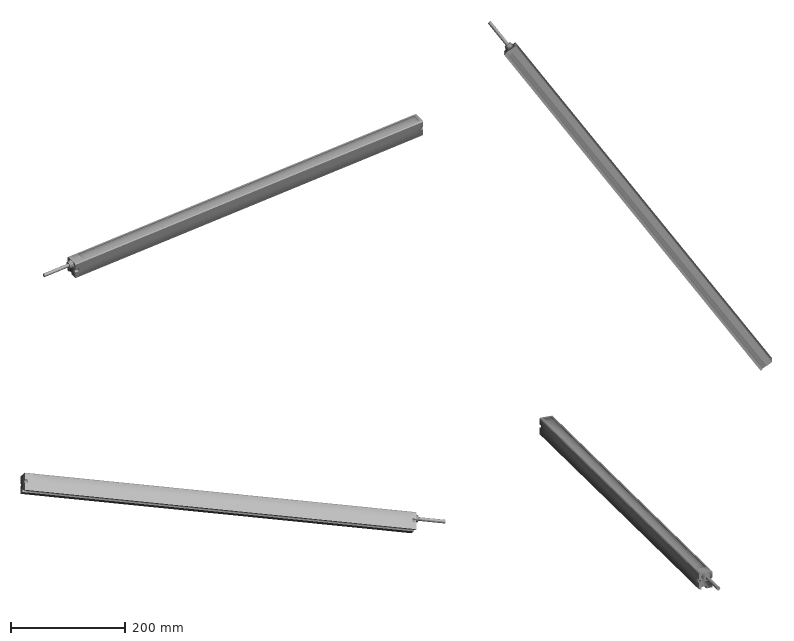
import cadquery as cq

width = 25.4
height = 31.75
total_length = 782.3
cable_reach = 57.6
body_length = total_length - cable_reach

near_cap_length = 19.05
far_cap_length = 5.0

top_chamfer = 1.6
slot_left = -8.0
slot_right = 1.0
slot_depth = 4.2

window_width = 16.0
window_recess = 1.5
core_width = 20.0
core_bottom = 7.0
lip_thickness = 3.0

groove_radius = 3.0
near_groove_length = 7.5
groove_height = height / 2

cable_height = height - 8.4
cable_diameter = 6.5
gland_diameter = 16.0
gland_ring_count = 3
gland_ring_length = 2.2
gland_ring_step = 1.5

near_end = -body_length / 2
far_end = body_length / 2
near_seam = near_end + near_cap_length
far_seam = far_end - far_cap_length


def box(x0, x1, y0, y1, z0, z1):
    """Box given by its limits along X, Y and Z."""
    return cq.Workplane("XY").box(x1 - x0, y1 - y0, z1 - z0, centered=False).translate((x0, y0, z0))


def rod(x, z, diameter, y0, y1):
    """Round rod parallel to Y."""
    return cq.Workplane("XZ", origin=(x, y0, z)).circle(diameter / 2).extrude(y0 - y1)


def section_bar(y0, y1):
    """Bar with the outer cross-section: chamfered top corners and a slot in the base."""
    bar = box(-width / 2, width / 2, y0, y1, 0, height)
    bar = bar.edges("|Y and >Z").chamfer(top_chamfer)
    return bar.cut(box(slot_left, slot_right, y0, y1, 0, slot_depth))


def core_bar(y0, y1):
    """T-shaped bar that fills the channel and shows its window between the lips."""
    lip_bottom = height - lip_thickness
    core = box(-core_width / 2, core_width / 2, y0, y1, core_bottom, lip_bottom)
    window = box(-window_width / 2, window_width / 2, y0, y1, lip_bottom, height - window_recess)
    return core.union(window)


def make_housing():
    """Extruded housing between the caps, open along the top."""
    channel = core_bar(near_seam, far_seam)
    mouth = box(-window_width / 2, window_width / 2, near_seam, far_seam, height - lip_thickness, height)
    return section_bar(near_seam, far_seam).cut(channel).cut(mouth)


def make_cap(y0, y1, groove_y0, groove_y1):
    """End cap with a half-round screw groove in each side."""
    cap = section_bar(y0, y1)
    for side_x in (-width / 2, width / 2):
        cap = cap.cut(rod(side_x, groove_height, 2 * groove_radius, groove_y0, groove_y1))
    return cap


def make_gland():
    """Stepped round gland on the face of the near cap."""
    gland = cq.Workplane("XY")
    for ring in range(gland_ring_count):
        ring_start = near_end - ring * gland_ring_length
        ring_diameter = gland_diameter - ring * gland_ring_step
        gland = gland.union(rod(0, cable_height, ring_diameter, ring_start - gland_ring_length, ring_start))
    return gland


def make_insert():
    """Window core, both end caps, gland and cable as one solid."""
    near_cap = make_cap(near_end, near_seam, near_end, near_end + near_groove_length)
    far_cap = make_cap(far_seam, far_end, far_seam, far_end)
    cable_end = near_end - cable_reach
    cable = rod(0, cable_height, cable_diameter, cable_end, near_end)
    insert = core_bar(near_seam, far_seam).union(near_cap).union(far_cap)
    return insert.union(make_gland()).union(cable)


housing = make_housing()
insert = make_insert()

result = cq.Compound.makeCompound([housing.val(), insert.val()])